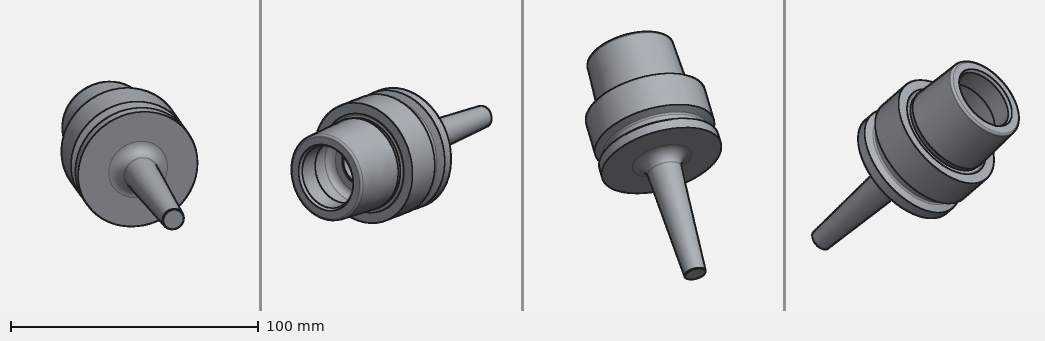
import cadquery as cq
import math

shank_length = 24.9
shank_end_radius = 19.15
shank_taper = 0.05
shank_edge_fillet = 1.0
shank_overlap = 1.0

relief_floor_radius = 18.8
relief_floor_length = 0.62
relief_floor_end = -0.33
relief_arc_radius = 0.75
relief_ramp_angle = math.radians(25)

flange_length = 25.8
flange_radius = 25.0
groove_center = 18.15
groove_floor_radius = 21.4
groove_mouth_width = 6.6
groove_wall_angle = math.radians(25)
groove_corner_fillet = 0.95

tip_x = 80.0
nose_tip_radius = 4.5
nose_taper_angle = math.radians(3)
nose_root_fillet = 5.2
nose_tip_chamfer = 0.3

bore_radius = 13.0
bore_chamfer_radial = 0.8
bore_chamfer_angle = math.radians(30)
bore_lip_depth = 10.0
cavity_radius = 15.0
cavity_floor_radius = 11.95
cavity_fillet = cavity_radius - cavity_floor_radius
cavity_depth = 22.0
pilot_radius = 8.5
pilot_depth = 4.0
pilot_chamfer = 0.4
pilot_floor_radius = 7.05


def revolve_profile(profile):
    """Close an (axial, radial) outline and turn it a full circle about X."""
    return profile.close().revolve(360, (0, 0, 0), (1, 0, 0))


def point_on_arc(center, radius, angle):
    """Point on a profile arc, with the angle measured from +X toward larger radius."""
    return (center[0] + radius * math.cos(angle), center[1] + radius * math.sin(angle))


def make_shank():
    """Tapered shank with a recessed relief at the flange seat face."""
    floor_start = relief_floor_end - relief_floor_length
    arc_center = (floor_start, relief_floor_radius + relief_arc_radius)
    ramp_end = point_on_arc(arc_center, relief_arc_radius, -math.pi / 2 - relief_ramp_angle)
    ramp_start_x = ramp_end[0] - (shank_end_radius - ramp_end[1]) / math.tan(relief_ramp_angle)
    front_radius = shank_end_radius - shank_taper * (shank_length + ramp_start_x)
    arc_mid = point_on_arc(arc_center, relief_arc_radius, -(math.pi + relief_ramp_angle) / 2)
    profile = (
        cq.Workplane("XY")
        .moveTo(-shank_length, 0)
        .lineTo(-shank_length, front_radius)
        .lineTo(ramp_start_x, shank_end_radius)
        .lineTo(*ramp_end)
        .threePointArc(arc_mid, (floor_start, relief_floor_radius))
        .lineTo(shank_overlap, relief_floor_radius)
        .lineTo(shank_overlap, 0)
    )
    return revolve_profile(profile).faces("<X").edges().fillet(shank_edge_fillet)


def make_seat_recess():
    """Ring cut into the flange seat face: rounded corner, then a ramp out to the face."""
    a = relief_ramp_angle
    center = (relief_floor_end, relief_floor_radius + relief_arc_radius)
    arc_end = point_on_arc(center, relief_arc_radius, a)
    arc_mid = point_on_arc(center, relief_arc_radius, (a - math.pi / 2) / 2)
    outer_radius = arc_end[1] + arc_end[0] / math.tan(a)
    profile = (
        cq.Workplane("XY")
        .moveTo(relief_floor_end, relief_floor_radius)
        .threePointArc(arc_mid, arc_end)
        .lineTo(0, outer_radius)
        .lineTo(relief_floor_end, outer_radius)
    )
    return revolve_profile(profile)


def make_flange():
    """Plain flange disc with a V-shaped gripper groove."""
    disc = cq.Workplane("YZ").circle(flange_radius).extrude(flange_length)
    half_mouth = groove_mouth_width / 2
    half_floor = half_mouth - (flange_radius - groove_floor_radius) * math.tan(groove_wall_angle)
    profile = (
        cq.Workplane("XY")
        .moveTo(groove_center - half_mouth, flange_radius)
        .lineTo(groove_center - half_floor, groove_floor_radius)
        .lineTo(groove_center + half_floor, groove_floor_radius)
        .lineTo(groove_center + half_mouth, flange_radius)
    )
    groove = revolve_profile(profile)
    floor_edges = groove.edges(cq.selectors.RadiusNthSelector(0))
    return disc.cut(floor_edges.fillet(groove_corner_fillet))


def make_nose():
    """Slender tapered nose blending into the flange with a root fillet."""
    a = nose_taper_angle
    center_x = flange_length + nose_root_fillet
    tangent_x = center_x - nose_root_fillet * math.sin(a)
    tangent_radius = nose_tip_radius + (tip_x - tangent_x) * math.tan(a)
    center_radius = tangent_radius + nose_root_fillet * math.cos(a)
    mid_angle = math.pi + (math.pi / 2 - a) / 2
    arc_mid = point_on_arc((center_x, center_radius), nose_root_fillet, mid_angle)
    profile = (
        cq.Workplane("XY")
        .moveTo(flange_length, 0)
        .lineTo(flange_length, center_radius)
        .threePointArc(arc_mid, (tangent_x, tangent_radius))
        .lineTo(tip_x, nose_tip_radius)
        .lineTo(tip_x, 0)
    )
    return revolve_profile(profile).faces(">X").edges().chamfer(nose_tip_chamfer)


def make_bore():
    """Stepped clamping bore entering from the shank end."""
    mouth_x = -shank_length
    lip_x = mouth_x + bore_lip_depth
    floor_x = mouth_x + cavity_depth
    chamfer_length = bore_chamfer_radial / math.tan(bore_chamfer_angle)
    fillet_center = (floor_x - cavity_fillet, cavity_floor_radius)
    fillet_mid = point_on_arc(fillet_center, cavity_fillet, math.pi / 4)
    profile = (
        cq.Workplane("XY")
        .moveTo(mouth_x, 0)
        .lineTo(mouth_x, bore_radius + bore_chamfer_radial)
        .lineTo(mouth_x + chamfer_length, bore_radius)
        .lineTo(lip_x, bore_radius)
        .lineTo(lip_x, cavity_radius)
        .lineTo(floor_x - cavity_fillet, cavity_radius)
        .threePointArc(fillet_mid, (floor_x, cavity_floor_radius))
        .lineTo(floor_x, pilot_radius)
        .lineTo(floor_x + pilot_chamfer, pilot_radius - pilot_chamfer)
        .lineTo(floor_x + pilot_depth, pilot_floor_radius)
        .lineTo(floor_x + pilot_depth, 0)
    )
    return revolve_profile(profile)


body = make_flange().cut(make_seat_recess()).union(make_shank()).union(make_nose())
result = body.cut(make_bore())